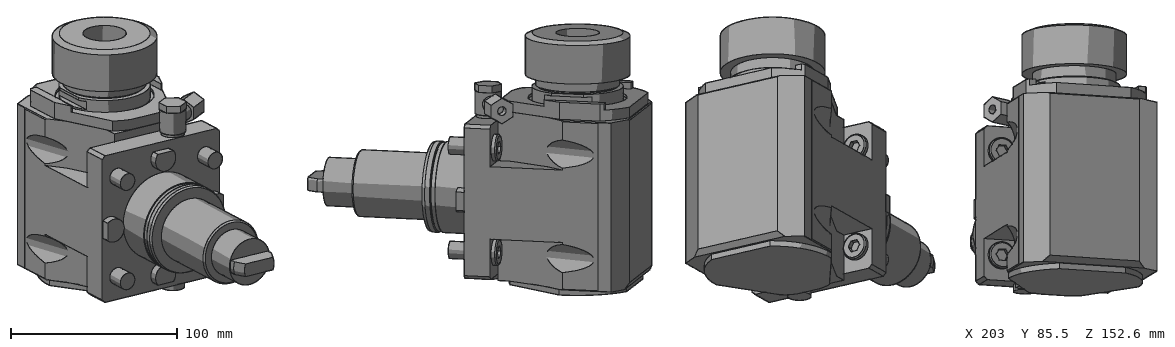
import cadquery as cq
import math


OVERALL_LENGTH = 203

LEFT_FACE = -39.0
BODY_END = 43.6
HALF_WIDTH = 42.6
FRONT_HALF_WIDTH = 42.2
FRONT_STEP_X = -23.0
CORNER_X = -30.9
LEFT_HALF_WIDTH = 28.2
BODY_TOP = 52.2
BODY_BOTTOM = -51.2
BEVEL_DEPTH = 2.2
BEVEL_HEIGHT = 3.7
RIM_CHAMFER = 0.6

POCKET_Z = 22.1
POCKET_START_X = -1.0
POCKET_KNEE = (10.0, 34.5)
POCKET_HEEL = (35.7, 22.7)
KNEE_ROUND = 5.5
HEEL_ROUND = 7.5
GROOVE_RADIUS = 9.7
GROOVE_TILT = 15.5
GROOVE_TIP_X = -20.5
GROOVE_LENGTH = 48.7

FLANGE_END = 59.7
FLANGE_HALF_HEIGHT = 47.0
FLANGE_CHAMFER = 2

SCREW_OFFSET = 31.9
SCREW_HEAD_RADIUS = 8.1
SCREW_HEAD_START = 40.5
SCREW_HEAD_CHAMFER = 0.8
SCREW_SHANK_RADIUS = 5.3
SCREW_END = 70.8
SOCKET_FLATS = 7.0
SOCKET_DEPTH = 4
PIN_OFFSET = 37.4
PIN_RADIUS = 7.3
PIN_FLAT = 42.0
PIN_END = 64.8

COLLAR_RADIUS = 27.5
GROOVE_SEAT_START = 81.5
GROOVE_SEAT_RADIUS = 26.8
SEAL_SLIT_START = 84.0
SEAL_SLIT_END = 84.7
SEAL_SLIT_RADIUS = 25.5
COLLAR_END = 89.5
COLLAR_CHAMFER_X = 1.8
COLLAR_CHAMFER_R = 0.6
SHANK_RADIUS = 20.0
SHANK_END = 134.5
SHANK_CHAMFER = 1.0
TAIL_RADIUS = 14.6
TAIL_END = 153.7
TANG_RADIUS = 14.0
TANG_TAPER_START = 157.3
TANG_TIP_RADIUS = 10.8
TANG_END = LEFT_FACE + OVERALL_LENGTH
TANG_THICKNESS = 8.1

PLATE_TOP = 58.7
PLATE_RADIUS = 44.5
PLATE_LEFT = -37.8
PLATE_HALF_WIDTH = 38.0
PLATE_SHOULDER_X = 2.0
PLATE_SLOPE_END = (39.0, 21.1)
PLATE_RIGHT = 43.2
RAIL_TOP = 62.5
RAIL_INNER_Y = 32.3
RAIL_LEFT = -25.2
RAIL_RIGHT = 12.8
RECESS_RADIUS = 29.6
RECESS_DEPTH = 1.6

RING_RADIUS = 27.5
RING_TOP = 65.4
RING_FLATS_TOP = 63.7
RING_FLATS_HALF = 23.1
RING_LIP_HALF = 25.5
NECK_TOP = 66.4
NECK_RADIUS = 24.0
SLEEVE_RADIUS = 25.2
NUT_RADIUS = 31.5
NUT_BOTTOM = 72.7
NUT_TOP = 98.0
NUT_CHAMFER_R = 4.3
NUT_CHAMFER_Z = 1.8
BORE_RADIUS = 13.0
BORE_DEPTH = 15.0

BASE_BOTTOM = -54.6
BASE_RADIUS = 41.0
BASE_LEFT = -35.3
BASE_RIGHT = 40.2
BASE_SHOULDER_X = 1.5
BASE_SLOPE_END_X = 37.5

FITTING_X = 51.8
FITTING_Y = 14.0
FITTING_RADIUS = 8.0
FITTING_NECK_RADIUS = 7.1
FITTING_NECK_TOP = 49.0
FITTING_HEX_BOTTOM = 63
FITTING_HEX_TOP = 67.2
FITTING_HEX_CORNERS = 16.6
NOZZLE_ANGLE = 120
NOZZLE_Z = 55.8
NOZZLE_STEM_RADIUS = 5.3
NOZZLE_HEX_START = 15.0
NOZZLE_HEX_END = 29.5
NOZZLE_HEX_CORNERS = 15.6
NOZZLE_HOLE_RADIUS = 2.6
NOZZLE_HOLE_DEPTH = 6
PLUG_RADIUS = 7.1
PLUG_BOTTOM = BODY_BOTTOM


def box(x0, x1, y0, y1, z0, z1):
    return cq.Workplane("XY").box(x1 - x0, y1 - y0, z1 - z0, centered=False).translate((x0, y0, z0))


def vertical_cylinder(radius, z0, z1, x=0, y=0):
    return cq.Workplane("XY", origin=(x, y, z0)).circle(radius).extrude(z1 - z0)


def prism(points, z0, z1):
    return cq.Workplane("XY", origin=(0, 0, z0)).polyline(points).close().extrude(z1 - z0)


def mirrored_outline(half):
    """Close a half outline given on the +Y side by its mirror image."""
    return half + [(x, -y) for x, y in reversed(half)]


def housing():
    outline = mirrored_outline([
        (LEFT_FACE, LEFT_HALF_WIDTH),
        (CORNER_X, FRONT_HALF_WIDTH),
        (FRONT_STEP_X, FRONT_HALF_WIDTH),
        (FRONT_STEP_X, HALF_WIDTH),
        (BODY_END, HALF_WIDTH),
    ])
    body = prism(outline, BODY_BOTTOM, BODY_TOP)
    body = body.faces(">Z").edges("<X or <Y or >Y").chamfer(RIM_CHAMFER)
    body = body.faces("<Z").edges("<Y or >Y").chamfer(RIM_CHAMFER)
    bevel = (
        cq.Workplane("XZ")
        .polyline([
            (LEFT_FACE, BODY_BOTTOM),
            (LEFT_FACE + BEVEL_DEPTH, BODY_BOTTOM),
            (LEFT_FACE, BODY_BOTTOM + BEVEL_HEIGHT),
        ])
        .close()
        .extrude(HALF_WIDTH, both=True)
    )
    return body.cut(bevel)


def flange():
    return (
        box(BODY_END, FLANGE_END, -HALF_WIDTH, HALF_WIDTH, -FLANGE_HALF_HEIGHT, FLANGE_HALF_HEIGHT)
        .edges("|X")
        .chamfer(FLANGE_CHAMFER)
    )


def pocket(side, level):
    """Corner pocket above or below the middle rib, open toward one side."""
    points = [
        (POCKET_START_X, HALF_WIDTH),
        POCKET_KNEE,
        POCKET_HEEL,
        (BODY_END, POCKET_HEEL[1]),
        (BODY_END, HALF_WIDTH),
    ]
    z0, z1 = sorted((level * POCKET_Z, level * BODY_TOP))
    solid = prism([(x, side * y) for x, y in points], z0, z1)
    for (x, y), radius in ((POCKET_KNEE, KNEE_ROUND), (POCKET_HEEL, HEEL_ROUND)):
        corner = cq.selectors.NearestToPointSelector((x, side * y, (z0 + z1) / 2))
        solid = solid.edges("|Z").edges(corner).fillet(radius)
    return solid


def clearance_groove(side, level):
    """Tilted round groove running from the side face into the pocket."""
    tilt = math.radians(GROOVE_TILT)
    start = (
        GROOVE_TIP_X + GROOVE_RADIUS * math.sin(tilt),
        side * (HALF_WIDTH + GROOVE_RADIUS * math.cos(tilt)),
        level * SCREW_OFFSET,
    )
    direction = (math.cos(tilt), -side * math.sin(tilt), 0)
    return cq.Workplane(cq.Solid.makeCylinder(
        GROOVE_RADIUS, GROOVE_LENGTH, cq.Vector(*start), cq.Vector(*direction)))


def flange_screw(side, level):
    axis_point = (SCREW_HEAD_START, side * SCREW_OFFSET, level * SCREW_OFFSET)
    plane = cq.Workplane("YZ", origin=axis_point)
    head = plane.circle(SCREW_HEAD_RADIUS).extrude(FLANGE_END - SCREW_HEAD_START)
    head = head.faces("<X").chamfer(SCREW_HEAD_CHAMFER)
    shank = plane.circle(SCREW_SHANK_RADIUS).extrude(SCREW_END - SCREW_HEAD_START)
    socket = plane.polygon(6, SOCKET_FLATS / math.cos(math.pi / 6)).extrude(SOCKET_DEPTH)
    return head.union(shank).cut(socket)


def locating_pin(angle):
    """Round pin beside the shank with a flat on its outer side."""
    plane = cq.Workplane("YZ", origin=(FLANGE_END, PIN_OFFSET, 0))
    pin = plane.circle(PIN_RADIUS).extrude(PIN_END - FLANGE_END)
    pin = pin.intersect(box(FLANGE_END, PIN_END, 0, PIN_FLAT, -PIN_RADIUS, PIN_RADIUS))
    return pin.rotate((0, 0, 0), (1, 0, 0), angle)


def shank():
    profile = [
        (FLANGE_END, 0),
        (FLANGE_END, COLLAR_RADIUS),
        (GROOVE_SEAT_START, COLLAR_RADIUS),
        (GROOVE_SEAT_START, GROOVE_SEAT_RADIUS),
        (SEAL_SLIT_START, GROOVE_SEAT_RADIUS),
        (SEAL_SLIT_START, SEAL_SLIT_RADIUS),
        (SEAL_SLIT_END, SEAL_SLIT_RADIUS),
        (SEAL_SLIT_END, COLLAR_RADIUS),
        (COLLAR_END - COLLAR_CHAMFER_X, COLLAR_RADIUS),
        (COLLAR_END, COLLAR_RADIUS - COLLAR_CHAMFER_R),
        (COLLAR_END, SHANK_RADIUS),
        (SHANK_END - SHANK_CHAMFER, SHANK_RADIUS),
        (SHANK_END, SHANK_RADIUS - SHANK_CHAMFER),
        (SHANK_END, TAIL_RADIUS),
        (TAIL_END, TAIL_RADIUS),
        (TAIL_END, 0),
    ]
    return cq.Workplane("XY").polyline(profile).close().revolve(360, (0, 0, 0), (1, 0, 0))


def tang():
    profile = [
        (SHANK_END, 0),
        (SHANK_END, TANG_RADIUS),
        (TANG_TAPER_START, TANG_RADIUS),
        (TANG_END, TANG_TIP_RADIUS),
        (TANG_END, 0),
    ]
    cone = cq.Workplane("XY").polyline(profile).close().revolve(360, (0, 0, 0), (1, 0, 0))
    slab = box(SHANK_END, TANG_END, -TANG_RADIUS, TANG_RADIUS, -TANG_THICKNESS / 2, TANG_THICKNESS / 2)
    return cone.intersect(slab)


def top_plate():
    outline = mirrored_outline([
        (PLATE_LEFT, PLATE_HALF_WIDTH),
        (PLATE_SHOULDER_X, PLATE_HALF_WIDTH),
        PLATE_SLOPE_END,
        (PLATE_RIGHT, PLATE_SLOPE_END[1]),
    ])
    blank = prism(outline, BODY_TOP, RAIL_TOP)
    blank = blank.intersect(vertical_cylinder(PLATE_RADIUS, BODY_TOP, RAIL_TOP))
    plate = blank.intersect(
        box(PLATE_LEFT, PLATE_RIGHT, -HALF_WIDTH, HALF_WIDTH, BODY_TOP, PLATE_TOP))
    for y0, y1 in ((RAIL_INNER_Y, HALF_WIDTH), (-HALF_WIDTH, -RAIL_INNER_Y)):
        plate = plate.union(
            blank.intersect(box(RAIL_LEFT, RAIL_RIGHT, y0, y1, BODY_TOP, RAIL_TOP)))
    return plate.cut(vertical_cylinder(RECESS_RADIUS, PLATE_TOP - RECESS_DEPTH, PLATE_TOP))


def spindle():
    ring = vertical_cylinder(RING_RADIUS, PLATE_TOP, RING_FLATS_TOP).intersect(
        box(-RING_RADIUS, RING_RADIUS, -RING_FLATS_HALF, RING_FLATS_HALF, PLATE_TOP, RING_TOP))
    lip = vertical_cylinder(RING_RADIUS, RING_FLATS_TOP, RING_TOP).intersect(
        box(-RING_RADIUS, RING_RADIUS, -RING_LIP_HALF, RING_LIP_HALF, PLATE_TOP, RING_TOP))
    root = vertical_cylinder(RING_RADIUS, PLATE_TOP - RECESS_DEPTH, PLATE_TOP)
    neck = vertical_cylinder(NECK_RADIUS, RING_TOP, NECK_TOP)
    sleeve = vertical_cylinder(SLEEVE_RADIUS, NECK_TOP, NUT_BOTTOM)
    nut = vertical_cylinder(NUT_RADIUS, NUT_BOTTOM, NUT_TOP)
    nut = nut.faces(">Z").chamfer(NUT_CHAMFER_Z, NUT_CHAMFER_R)
    bore = vertical_cylinder(BORE_RADIUS, NUT_TOP - BORE_DEPTH, NUT_TOP)
    return root.union(ring).union(lip).union(neck).union(sleeve).union(nut).cut(bore)


def bottom_cover():
    slope_end_y = math.sqrt(BASE_RADIUS ** 2 - BASE_SLOPE_END_X ** 2)
    outline = mirrored_outline([
        (BASE_LEFT, BASE_RADIUS),
        (BASE_SHOULDER_X, BASE_RADIUS),
        (BASE_SLOPE_END_X, slope_end_y),
        (BASE_RIGHT, slope_end_y),
    ])
    cover = prism(outline, BASE_BOTTOM, BODY_BOTTOM)
    return cover.intersect(vertical_cylinder(BASE_RADIUS, BASE_BOTTOM, BODY_BOTTOM))


def coolant_fitting():
    neck = vertical_cylinder(
        FITTING_NECK_RADIUS, FLANGE_HALF_HEIGHT, FITTING_NECK_TOP, FITTING_X, FITTING_Y)
    barrel = vertical_cylinder(
        FITTING_RADIUS, FITTING_NECK_TOP, FITTING_HEX_BOTTOM, FITTING_X, FITTING_Y)
    cap = (
        cq.Workplane("XY", origin=(FITTING_X, FITTING_Y, FITTING_HEX_BOTTOM))
        .polygon(6, FITTING_HEX_CORNERS)
        .extrude(FITTING_HEX_TOP - FITTING_HEX_BOTTOM)
    )
    return neck.union(barrel).union(cap)


def nozzle():
    """Hexagon nozzle on a round stem, built along +X and swung about the fitting axis."""
    stem = cq.Workplane("YZ").circle(NOZZLE_STEM_RADIUS).extrude(NOZZLE_HEX_START)
    hexagon = (
        cq.Workplane("YZ", origin=(NOZZLE_HEX_START, 0, 0))
        .polygon(6, NOZZLE_HEX_CORNERS)
        .extrude(NOZZLE_HEX_END - NOZZLE_HEX_START)
        .rotate((0, 0, 0), (1, 0, 0), 90)
    )
    hole = (
        cq.Workplane("YZ", origin=(NOZZLE_HEX_END - NOZZLE_HOLE_DEPTH, 0, 0))
        .circle(NOZZLE_HOLE_RADIUS)
        .extrude(NOZZLE_HOLE_DEPTH)
    )
    arm = stem.union(hexagon).cut(hole)
    return arm.rotate((0, 0, 0), (0, 0, 1), NOZZLE_ANGLE).translate((FITTING_X, FITTING_Y, NOZZLE_Z))


def drain_plug():
    return vertical_cylinder(PLUG_RADIUS, PLUG_BOTTOM, -FLANGE_HALF_HEIGHT, FITTING_X, FITTING_Y)


corners = [(side, level) for side in (-1, 1) for level in (-1, 1)]

result = housing()
for side, level in corners:
    result = result.cut(pocket(side, level)).cut(clearance_groove(side, level))
result = result.union(flange()).union(shank()).union(tang())
result = result.union(top_plate()).union(spindle()).union(bottom_cover())
for side, level in corners:
    result = result.union(flange_screw(side, level))
for angle in (0, 90, 180, 270):
    result = result.union(locating_pin(angle))
result = result.union(coolant_fitting()).union(nozzle()).union(drain_plug())